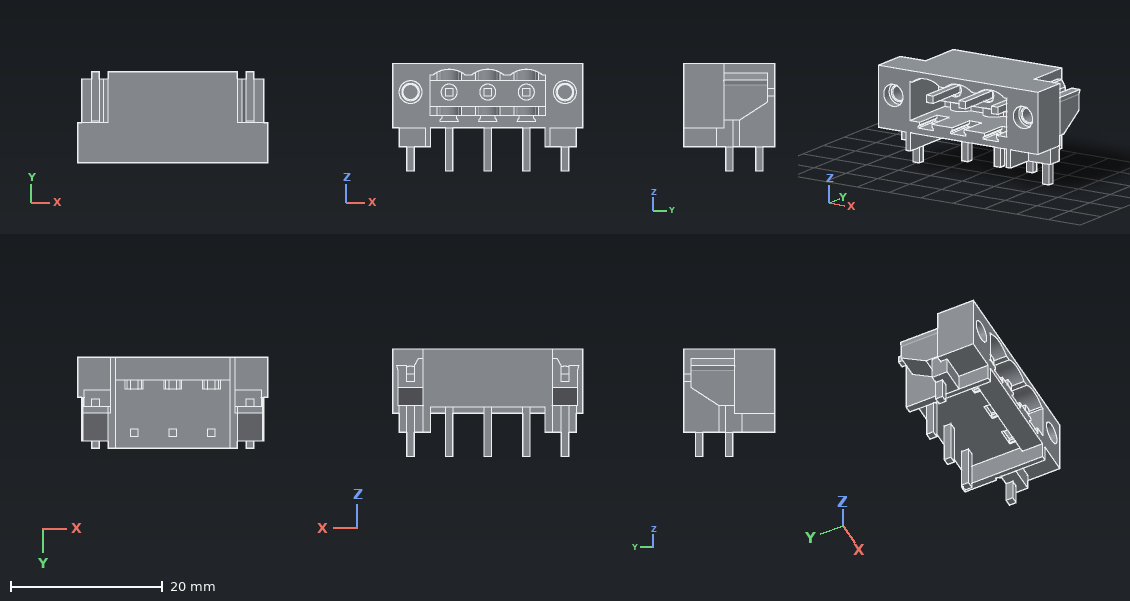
import cadquery as cq


pitch = 5.08
pole_xs = [-pitch, 0, pitch]
bar = 1.0
pin_z = 7.2
pin_bottom = -3.2
contact_tip_y = 1.0
contact_leg_y = 9.97

flange_width = 25.05
flange_depth = 5.28
flange_bottom = 2.5
total_depth = 12.0
top_z = 11.0
body_half_width = 8.51
skirt_outer_x = 8.21
skirt_inner_x = 7.5
skirt_step_y = 7.34
relief_front_y = 3.0
relief_top = 3.33

cavity_half_width = 7.59
cavity_floor = 4.15
cavity_roof = 9.45
cavity_back_y = 8.5
scallop_height = 0.78
scallop_half_width = 2.15
band_height = 3.4
band_z = 7.0
band_front_y = 7.0
pin_recess_radius = 1.05
pin_recess_depth = 0.5

tower_front_y = 7.19
tower_half_width = 1.63
tower_arc_half_width = 1.23
tower_arc_rise = 0.68

groove_half_top = 0.95
groove_half_bottom = 1.18
groove_length = 4.2
groove_neck = 0.38
groove_flare = 0.6

insert_x = 2 * pitch
barrel_radius = 1.5
barrel_front_y = 1.3
thread_radius = 1.0
mouth_radius = 1.15
mouth_depth = 0.1
thread_depth = 3.0
block_back_y = 11.05
block_bottom = 3.5
block_back_bottom = 5.9
block_outer_x = 12.0
lip_overhang = 0.18
lip_bottom = 8.11
outer_wall_top = 8.8
inner_wall_top = 9.72
inner_wall_bevel_width = 0.53
inner_wall_bevel_height = 0.93
foot_outer_x = 11.67
foot_front_y = 4.3
foot_back_y = 6.5

channel_inner_x = insert_x - bar / 2
channel_outer_x = insert_x + bar / 2


def box(x0, x1, y0, y1, z0, z1):
    """Axis-aligned box between two corners."""
    return cq.Workplane("XY").box(x1 - x0, y1 - y0, z1 - z0, centered=False).translate((x0, y0, z0))


def cylinder_y(x, z, radius, y0, y1):
    """Cylinder along Y."""
    return cq.Workplane("XZ", origin=(x, y0, z)).circle(radius).extrude(y0 - y1)


def mirrored(solid):
    """The same shape on the other side of X = 0."""
    return solid.mirror("YZ")


def make_contact(x):
    """Square wire that runs back from its tip and turns down into a leg."""
    leg_back_y = contact_leg_y + bar / 2
    x0, x1 = x - bar / 2, x + bar / 2
    wire = box(x0, x1, contact_tip_y, leg_back_y, pin_z - bar / 2, pin_z + bar / 2)
    leg = box(x0, x1, leg_back_y - bar, leg_back_y, pin_bottom, pin_z)
    return wire.union(leg)


def make_flange_pin():
    """Right-hand solder pin: a wire in the insert channel with a leg at its front end."""
    x0, x1 = channel_inner_x, channel_outer_x
    wire = box(x0, x1, foot_back_y - bar, total_depth, pin_z - bar / 2, pin_z + bar / 2)
    leg = box(x0, x1, foot_back_y - bar, foot_back_y, pin_bottom, pin_z)
    return wire.union(leg)


def make_channel_block():
    """Right-hand channel block, with a bevelled inner wall and a lip on the outer wall."""
    wall_outer_x = block_outer_x - lip_overhang
    section = (
        cq.Workplane("XZ", origin=(0, flange_depth, 0))
        .moveTo(body_half_width, block_bottom)
        .lineTo(wall_outer_x, block_bottom)
        .lineTo(wall_outer_x, lip_bottom)
        .lineTo(block_outer_x, outer_wall_top)
        .lineTo(channel_outer_x, outer_wall_top)
        .lineTo(channel_outer_x, pin_z - bar / 2)
        .lineTo(channel_inner_x, pin_z - bar / 2)
        .lineTo(channel_inner_x, inner_wall_top - inner_wall_bevel_height)
        .lineTo(channel_inner_x - inner_wall_bevel_width, inner_wall_top)
        .lineTo(body_half_width, inner_wall_top)
        .close()
        .extrude(flange_depth - block_back_y)
    )
    slant = (
        cq.Workplane("YZ")
        .moveTo(skirt_step_y, block_bottom)
        .lineTo(block_back_y, block_back_bottom)
        .lineTo(block_back_y, block_bottom)
        .close()
        .extrude(block_outer_x)
    )
    return section.cut(slant)


def make_insert():
    """Right-hand insert: channel block, foot under the flange and threaded barrel."""
    foot = box(skirt_outer_x, foot_outer_x, foot_front_y, foot_back_y, 0, flange_bottom)
    stem = box(skirt_outer_x, foot_outer_x, flange_depth, foot_back_y, 0, block_bottom)
    barrel = cylinder_y(insert_x, pin_z, barrel_radius, barrel_front_y, flange_depth)
    thread = cylinder_y(insert_x, pin_z, thread_radius, barrel_front_y, barrel_front_y + thread_depth)
    mouth_centre = cq.Vector(insert_x, barrel_front_y, pin_z)
    mouth = cq.Workplane(
        cq.Solid.makeCone(mouth_radius, thread_radius, mouth_depth, mouth_centre, cq.Vector(0, 1, 0))
    )
    insert = make_channel_block().union(foot).union(stem).union(barrel)
    return insert.cut(thread).cut(mouth).cut(make_flange_pin())


def make_cavity_outline():
    """Open front cavity with one arched scallop in its roof above each pole."""
    outline = (
        cq.Workplane("XZ")
        .moveTo(-cavity_half_width, cavity_floor)
        .lineTo(-cavity_half_width, cavity_roof)
    )
    for x in pole_xs:
        outline = (
            outline.lineTo(x - scallop_half_width, cavity_roof)
            .threePointArc((x, cavity_roof + scallop_height), (x + scallop_half_width, cavity_roof))
        )
    return (
        outline.lineTo(cavity_half_width, cavity_roof)
        .lineTo(cavity_half_width, cavity_floor)
        .close()
        .extrude(-cavity_back_y)
    )


def make_tower(x):
    """Upright with a rounded front and two slanted flanks, in front of the cavity back wall."""
    arc_end_y = tower_front_y + tower_arc_rise
    return (
        cq.Workplane("XY", origin=(x, 0, cavity_floor))
        .moveTo(-tower_half_width, cavity_back_y)
        .lineTo(-tower_arc_half_width, arc_end_y)
        .threePointArc((0, tower_front_y), (tower_arc_half_width, arc_end_y))
        .lineTo(tower_half_width, cavity_back_y)
        .close()
        .extrude(top_z - cavity_floor)
    )


def make_cavity():
    """Cavity space around the towers and the band that carries the contacts."""
    band = box(
        -cavity_half_width, cavity_half_width, band_front_y, cavity_back_y,
        band_z - band_height / 2, band_z + band_height / 2,
    )
    cavity = make_cavity_outline().cut(band)
    for x in pole_xs:
        cavity = cavity.cut(make_tower(x))
    return cavity


def make_groove(x):
    """Dovetail groove that opens at the front and at the cavity floor."""
    return (
        cq.Workplane("XZ", origin=(x, 0, cavity_floor))
        .moveTo(-groove_half_top, 0)
        .lineTo(-groove_half_top, -groove_neck)
        .lineTo(-groove_half_bottom, -groove_flare)
        .lineTo(-groove_half_bottom, relief_top - cavity_floor)
        .lineTo(groove_half_bottom, relief_top - cavity_floor)
        .lineTo(groove_half_bottom, -groove_flare)
        .lineTo(groove_half_top, -groove_neck)
        .lineTo(groove_half_top, 0)
        .close()
        .extrude(-groove_length)
    )


def make_housing():
    """Housing, with a recess that fits each contact and each insert barrel."""
    half_flange = flange_width / 2
    flange = box(-half_flange, half_flange, 0, flange_depth, flange_bottom, top_z)
    front_skirts = box(-skirt_outer_x, skirt_outer_x, 0, skirt_step_y, 0, top_z)
    body = box(-body_half_width, body_half_width, flange_depth, total_depth, block_bottom, top_z)
    rear_skirts = box(-body_half_width, body_half_width, skirt_step_y, total_depth, 0, block_bottom)
    shell = flange.union(front_skirts).union(body).union(rear_skirts)

    shell = shell.cut(box(-skirt_inner_x, skirt_inner_x, 0, total_depth, 0, flange_bottom))
    shell = shell.cut(box(-skirt_inner_x, skirt_inner_x, relief_front_y, total_depth, 0, relief_top))

    shell = shell.cut(make_cavity())

    for x in pole_xs:
        pin_recess = cylinder_y(x, pin_z, pin_recess_radius, band_front_y, band_front_y + pin_recess_depth)
        shell = shell.cut(make_groove(x)).cut(pin_recess).cut(make_contact(x))
    for x in (-insert_x, insert_x):
        shell = shell.cut(cylinder_y(x, pin_z, barrel_radius, 0, flange_depth))
    return shell


housing = make_housing()
contacts = [make_contact(x) for x in pole_xs]
right_insert = make_insert()
inserts = [right_insert, mirrored(right_insert)]
right_flange_pin = make_flange_pin()
flange_pins = [right_flange_pin, mirrored(right_flange_pin)]

bodies = [housing, *contacts, *inserts, *flange_pins]
result = cq.Compound.makeCompound([body.solids().val() for body in bodies])